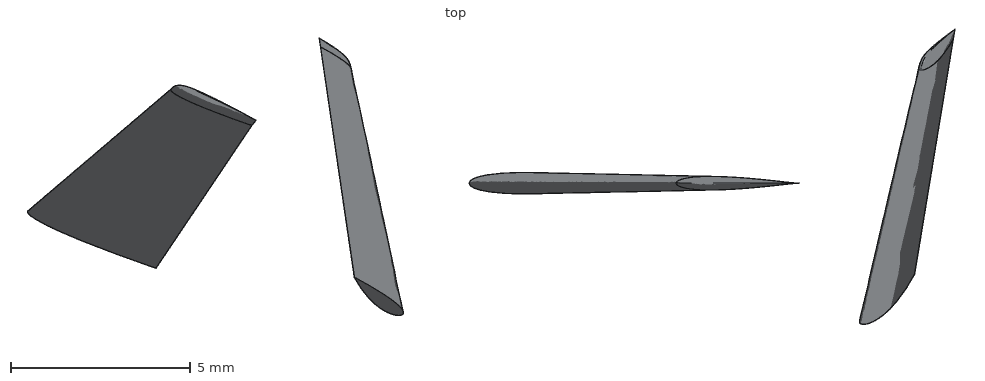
import cadquery as cq
import math


ROOT_CHORD = 5.16
TIP_CHORD = 3.26
TIP_LEADING_X = 5.78
TIP_HEIGHT = 5.76
ROOT_THICKNESS = 0.61

TOTAL_HEIGHT = 6.06
END_X = 9.22
END_HEIGHT = 5.98
PEAK_FRACTION = 0.24
NOSE_EXPONENT = 3
CAP_INSET = 0.002
NOSE_FRACTION = 0.0005
JOINT_FRACTIONS = [NOSE_FRACTION, 0.25, 0.55, 0.76, 1.0]

PROFILE_STEPS = 24
RIB_STEPS = 6
RIB_GAPS = 5

SHAPE_TERMS = [(0.5, 0.2969), (1, -0.1260), (2, -0.3516), (3, 0.2843), (4, -0.1015)]
THICKNESS_GAIN = 5

thickness_ratio = ROOT_THICKNESS / ROOT_CHORD
peak_rise = TOTAL_HEIGHT - TIP_HEIGHT
end_rise = END_HEIGHT - TIP_HEIGHT
rib_lean = (END_X - TIP_LEADING_X - TIP_CHORD) / end_rise


def half_thickness(fraction, chord):
    shape = sum(factor * fraction**power for power, factor in SHAPE_TERMS)
    return THICKNESS_GAIN * thickness_ratio * chord * shape


def profile_wire(chord, leading_x, height):
    """Closed aerofoil: one spline round the nose and a thin flat trailing edge."""
    points = []
    for step in range(-PROFILE_STEPS, PROFILE_STEPS + 1):
        fraction = (1 - math.cos(math.pi * step / PROFILE_STEPS)) / 2
        y = math.copysign(half_thickness(fraction, chord), step)
        points.append(cq.Vector(leading_x + chord * fraction, y, height))
    trailing_edge = cq.Edge.makeLine(points[-1], points[0])
    return cq.Wire.assembleEdges([cq.Edge.makeSpline(points), trailing_edge])


def crest_rise(fraction):
    """Crest height above the tip: a rounded nose, then a gentle parabolic fall."""
    if fraction < PEAK_FRACTION:
        ahead = 1 - fraction / PEAK_FRACTION
        return peak_rise * (1 - ahead**NOSE_EXPONENT) ** (1 / NOSE_EXPONENT)
    behind = (fraction - PEAK_FRACTION) / (1 - PEAK_FRACTION)
    return peak_rise - (peak_rise - end_rise) * behind**2


def rib_wire(fraction):
    """Leaning half ellipse standing across the tip profile."""
    base_x = TIP_LEADING_X + TIP_CHORD * fraction
    half_width = half_thickness(fraction, TIP_CHORD) - CAP_INSET
    rise = crest_rise(fraction)

    def rib_point(angle):
        up = rise * math.sin(angle)
        return cq.Vector(base_x + rib_lean * up, half_width * math.cos(angle), TIP_HEIGHT + up)

    quarter = math.pi / 2
    sides = []
    for start in (0, quarter):
        points = [rib_point(start + quarter * step / RIB_STEPS) for step in range(RIB_STEPS + 1)]
        sides.append(cq.Edge.makeSpline(points))
    base = cq.Edge.makeLine(sides[1].endPoint(), sides[0].startPoint())
    return cq.Wire.assembleEdges(sides + [base])


def cap_piece(start, end):
    start_angle = math.acos(1 - 2 * start)
    end_angle = math.acos(1 - 2 * end)
    ribs = []
    for step in range(RIB_GAPS + 1):
        angle = start_angle + (end_angle - start_angle) * step / RIB_GAPS
        ribs.append(rib_wire((1 - math.cos(angle)) / 2))
    return cq.Solid.makeLoft(ribs)


root = profile_wire(ROOT_CHORD, 0, 0)
tip = profile_wire(TIP_CHORD, TIP_LEADING_X, TIP_HEIGHT)
result = cq.Workplane(obj=cq.Solid.makeLoft([root, tip], True))
for piece_start, piece_end in zip(JOINT_FRACTIONS, JOINT_FRACTIONS[1:]):
    result = result.union(cq.Workplane(obj=cap_piece(piece_start, piece_end)))